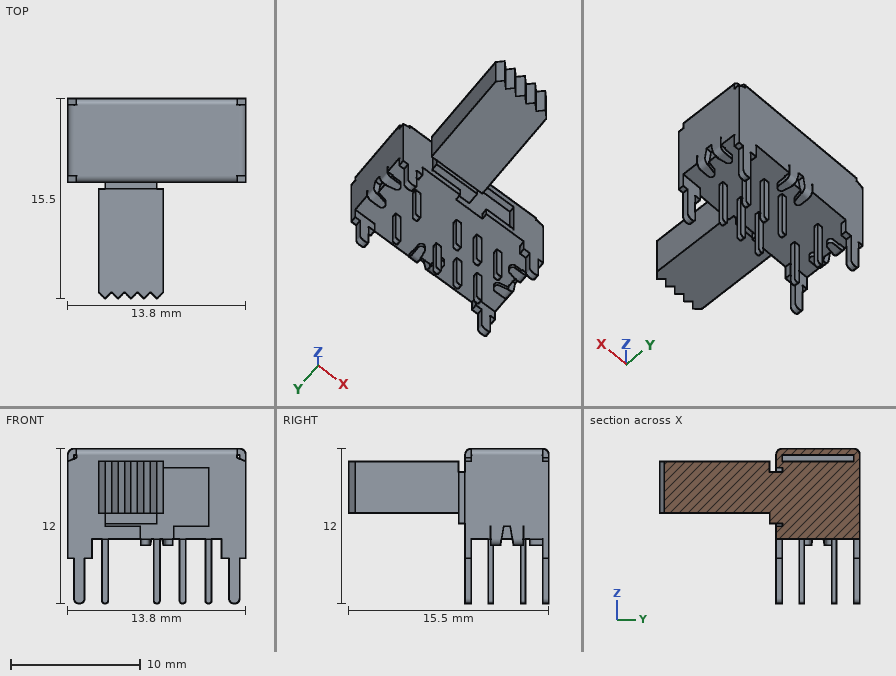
import cadquery as cq


case_length = 13.8
case_width = 6.5
case_top = 7.0
sheet = 0.5
bend_radius = 0.5
half_length = case_length / 2
half_width = case_width / 2
inner_half_length = half_length - sheet
inner_half_width = half_width - sheet
inner_top = case_top - sheet

relief_length = 0.68
relief_low = 6.0
relief_high = 6.3

leg_inner_x = 5.0
leg_shoulder_z = -1.5
foot_x = 6.0
foot_width = 0.84
foot_tip_radius = 0.4
pin_end_z = -5.0

window_half_length = 4.0
window_top = 5.5

ledge_height = 1.0
block_top = 6.0
groove_half_width = 1.3

tab_half_width = 1.25
tab_reach = 1.5
gap_half_top = 0.25
gap_half_bend = 0.5
gap_half_tip = 0.65

pin_positions = [(x, y) for x in (-4.0, 0.0, 2.0, 4.0) for y in (-1.25, 1.25)]
pin_width = 0.5
pin_thickness = 0.4

slider_x = -2.0
neck_length = 4.0
neck_bottom = 1.2
neck_top = 5.2
neck_reach = 0.5
handle_length = 5.0
handle_bottom = 2.0
handle_top = 6.0
handle_reach = 9.0
tooth_count = 5
tooth_depth = 0.5


def box(x0, x1, y0, y1, z0, z1):
    """Box between two opposite corners."""
    return cq.Workplane("XY").box(x1 - x0, y1 - y0, z1 - z0, centered=False).translate((x0, y0, z0))


def both_ways(shape, plane):
    """The shape together with its mirror image."""
    return shape.union(shape.mirror(plane))


def corner_relief():
    """Cutter for the -X, -Y top corner of the case."""
    relief_x = -half_length + relief_length
    return (
        cq.Workplane("XZ", origin=(0, -inner_half_width, 0))
        .moveTo(-half_length, relief_low)
        .lineTo(relief_x, relief_high)
        .lineTo(relief_x, case_top)
        .lineTo(-half_length, case_top)
        .close()
        .extrude(sheet)
    )


def make_case():
    """Open box with bent top edges, a slider window and four corner legs."""
    case = box(-half_length, half_length, -half_width, half_width, leg_shoulder_z, case_top)
    case = case.faces(">Z").edges().fillet(bend_radius)
    case = case.cut(box(-inner_half_length, inner_half_length, -inner_half_width, inner_half_width,
                        leg_shoulder_z, inner_top))
    case = case.cut(box(-leg_inner_x, leg_inner_x, -half_width, half_width, leg_shoulder_z, ledge_height))
    case = case.cut(box(-half_length, half_length, -inner_half_width, inner_half_width,
                        leg_shoulder_z, ledge_height))
    case = case.cut(box(-window_half_length, window_half_length, -half_width, -inner_half_width,
                        ledge_height, window_top))
    return case.cut(both_ways(both_ways(corner_relief(), "YZ"), "XZ"))


def make_feet():
    """Round-ended solder feet below the case legs."""
    foot = box(-foot_x - foot_width / 2, -foot_x + foot_width / 2, -half_width, -inner_half_width,
               pin_end_z, leg_shoulder_z)
    foot = foot.edges("|Y and <Z").fillet(foot_tip_radius)
    return both_ways(both_ways(foot, "YZ"), "XZ")


def make_base():
    """Plastic base with a groove for a tab in the middle of each side of its ledge."""
    base = box(-inner_half_length, inner_half_length, -inner_half_width, inner_half_width, 0, block_top)
    base = base.union(box(-half_length, half_length, -inner_half_width, inner_half_width, 0, ledge_height))
    base = base.union(box(-leg_inner_x, leg_inner_x, -half_width, half_width, 0, ledge_height))
    end_groove = box(-half_length, -inner_half_length, -groove_half_width, groove_half_width, 0, ledge_height)
    side_groove = box(-groove_half_width, groove_half_width, -half_width, -inner_half_width, 0, ledge_height)
    return base.cut(both_ways(end_groove, "YZ")).cut(both_ways(side_groove, "XZ"))


def make_tab():
    """Crimped tab with its outer face on Y = 0, reaching toward -Y under the base."""
    upright = (
        cq.Workplane("XZ")
        .moveTo(gap_half_top, ledge_height)
        .lineTo(tab_half_width, ledge_height)
        .lineTo(tab_half_width, -sheet)
        .lineTo(gap_half_bend, -sheet)
        .close()
        .extrude(sheet)
    )
    tip_radius = (tab_half_width - gap_half_tip) / 2
    tip_start = tip_radius - tab_reach
    flat = (
        cq.Workplane("XY", origin=(0, 0, -sheet))
        .moveTo(gap_half_bend, -sheet)
        .lineTo(tab_half_width, -sheet)
        .lineTo(tab_half_width, tip_start)
        .threePointArc((tab_half_width - tip_radius, -tab_reach), (gap_half_tip, tip_start))
        .close()
        .extrude(sheet)
    )
    bend_envelope = (
        box(-tab_half_width, tab_half_width, -tab_reach, 0, -sheet, ledge_height)
        .edges(">Y and <Z")
        .fillet(bend_radius)
    )
    prong = upright.union(flat).intersect(bend_envelope)
    return both_ways(prong, "YZ")


def make_tabs():
    """Tabs on both ends and on the +Y side; the slider side has none."""
    back_tab = make_tab().translate((0, half_width, 0))
    end_tab = make_tab().rotate((0, 0, 0), (0, 0, 1), 90).translate((-half_length, 0, 0))
    return back_tab.union(both_ways(end_tab, "YZ"))


def make_pins():
    """Round-ended terminal pins below the base."""
    tip_radius = pin_width / 2
    tip_center_z = pin_end_z + tip_radius
    pin = (
        cq.Workplane("XZ")
        .moveTo(-tip_radius, 0)
        .lineTo(-tip_radius, tip_center_z)
        .threePointArc((0, pin_end_z), (tip_radius, tip_center_z))
        .lineTo(tip_radius, 0)
        .close()
        .extrude(pin_thickness / 2, both=True)
    )
    pins = cq.Workplane("XY")
    for x, y in pin_positions:
        pins = pins.add(pin.translate((x, y, 0)))
    return pins.combine()


def make_slider():
    """Neck and handle reaching toward -Y, with V teeth across the handle end."""
    neck_y = -half_width - neck_reach
    neck = box(slider_x - neck_length / 2, slider_x + neck_length / 2, neck_y, -inner_half_width,
               neck_bottom, neck_top)
    left = slider_x - handle_length / 2
    peak_y = -half_width - handle_reach
    valley_y = peak_y + tooth_depth
    tooth_pitch = handle_length / tooth_count
    outline = cq.Workplane("XY", origin=(0, 0, handle_bottom)).moveTo(left, neck_y).lineTo(left, valley_y)
    for i in range(tooth_count):
        outline = outline.lineTo(left + (i + 0.5) * tooth_pitch, peak_y)
        outline = outline.lineTo(left + (i + 1) * tooth_pitch, valley_y)
    handle = outline.lineTo(left + handle_length, neck_y).close().extrude(handle_top - handle_bottom)
    return neck.union(handle)


result = (
    make_case()
    .union(make_feet())
    .union(make_base())
    .union(make_tabs())
    .union(make_pins())
    .union(make_slider())
)